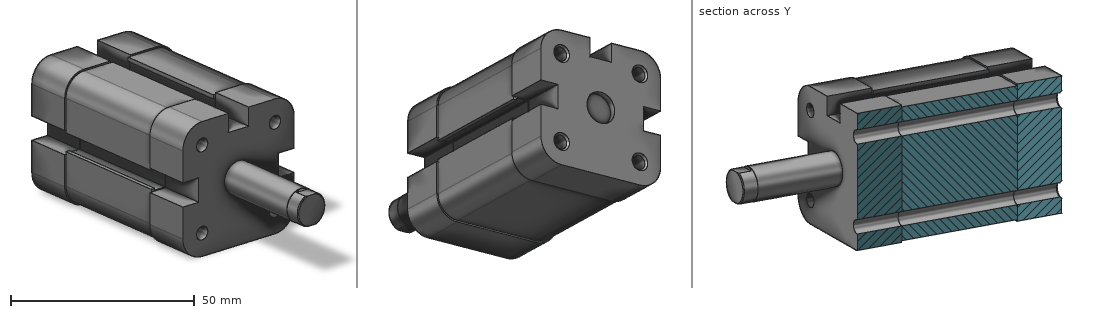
import cadquery as cq


total_length = 95.0
cap_length = 14.0
body_length = 64.0
tube_length = body_length - 2 * cap_length
rod_length = total_length - body_length

cap_side = 39.5
corner_radius = 6.8
cap_slot_width = 7.1
cap_slot_depth = 5.6

tube_inset = 0.5
tube_side = cap_side - 2 * tube_inset
tube_slot_inset = 0.3
tube_slot_width = cap_slot_width - 2 * tube_slot_inset
tube_slot_depth = cap_slot_depth - tube_inset - tube_slot_inset
lip_gap = 5.5
lip_thickness = 1.2

screw_hole_diameter = 4.0
screw_hole_chamfer = 0.6
screw_hole_offset = cap_side / 2 - corner_radius

recess_diameter = 9.1
recess_depth = 2.0

shank_diameter = 10.0
tip_diameter = 9.8
tip_length = 4.6
tip_chamfer = 0.3
shank_length = rod_length - tip_length
flat_length = 4.0
across_flats = 8.9

SLOT_ANGLES = (-90, 0, 90)


def rounded_block(side, radius, length, start_x):
    """Square bar along X with rounded long edges."""
    return (
        cq.Workplane("YZ", origin=(start_x, 0, 0))
        .rect(side, side)
        .extrude(length)
        .edges("|X")
        .fillet(radius)
    )


def cut_slots(block, width, bottom, top, length, start_x):
    """Cut a channel between the heights bottom and top on each slotted side."""
    channel = cq.Workplane("XY").box(length, width, top - bottom, centered=(False, True, False))
    channel = channel.translate((start_x, 0, bottom))
    for angle in SLOT_ANGLES:
        block = block.cut(channel.rotate((0, 0, 0), (1, 0, 0), angle))
    return block


def cut_screw_holes(block, length, start_x):
    """Cut the four corner screw holes through the whole length."""
    spacing = 2 * screw_hole_offset
    holes = (
        cq.Workplane("YZ", origin=(start_x, 0, 0))
        .rect(spacing, spacing, forConstruction=True)
        .vertices()
        .circle(screw_hole_diameter / 2)
        .extrude(length)
    )
    return block.cut(holes)


def make_cap(start_x):
    """Slotted end cap with four screw holes."""
    cap = rounded_block(cap_side, corner_radius, cap_length, start_x)
    slot_top = cap_side / 2
    cap = cut_slots(cap, cap_slot_width, slot_top - cap_slot_depth, slot_top, cap_length, start_x)
    return cut_screw_holes(cap, cap_length, start_x)


def make_rear_cap():
    """End cap with chamfered screw holes and a round recess in its outer face."""
    cap = make_cap(0)
    hole_rims = cap.faces("<X").edges("%CIRCLE").edges(cq.selectors.RadiusNthSelector(0))
    cap = hole_rims.chamfer(screw_hole_chamfer)
    recess = cq.Workplane("YZ").circle(recess_diameter / 2).extrude(recess_depth)
    return cap.cut(recess)


def make_tube():
    """Profiled tube between the caps; lips narrow the mouth of each slot."""
    tube = rounded_block(tube_side, corner_radius - tube_inset, tube_length, cap_length)
    slot_top = tube_side / 2
    slot_floor = slot_top - tube_slot_depth
    lip_bottom = slot_top - lip_thickness
    tube = cut_slots(tube, tube_slot_width, slot_floor, lip_bottom, tube_length, cap_length)
    tube = cut_slots(tube, lip_gap, lip_bottom, slot_top, tube_length, cap_length)
    return cut_screw_holes(tube, tube_length, cap_length)


def make_rod():
    """Stepped rod on the front cap; the flats above and below its tip start with 45 degree ramps."""
    shank = cq.Workplane("YZ", origin=(body_length, 0, 0)).circle(shank_diameter / 2).extrude(shank_length)
    tip = shank.faces(">X").workplane().circle(tip_diameter / 2).extrude(tip_length, combine=False)
    rod = shank.union(tip.faces(">X").chamfer(tip_chamfer))

    tip_radius = tip_diameter / 2
    flat_height = across_flats / 2
    flat_start = total_length - flat_length
    ramp_start = flat_start - (tip_radius - flat_height)
    flat_cutter = (
        cq.Workplane("XZ")
        .moveTo(ramp_start, tip_radius)
        .lineTo(flat_start, flat_height)
        .lineTo(total_length, flat_height)
        .lineTo(total_length, tip_radius)
        .close()
        .extrude(tip_radius, both=True)
    )
    return rod.cut(flat_cutter).cut(flat_cutter.mirror("XY"))


rear_cap = make_rear_cap()
tube = make_tube()
front_cap = make_cap(body_length - cap_length)
rod = make_rod()

result = cq.Compound.makeCompound([rear_cap.val(), tube.val(), front_cap.val(), rod.val()])